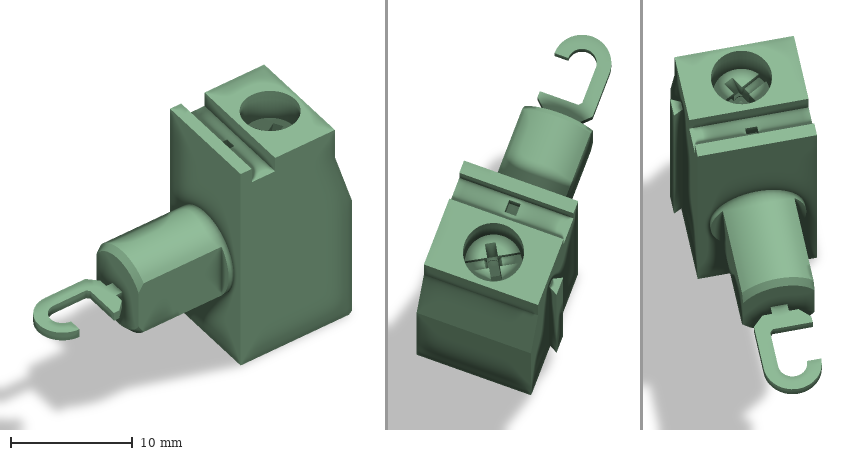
import cadquery as cq


BODY_WIDTH = 10.0
BODY_DEPTH = 11.2
BODY_HEIGHT = 20.9
BACK_STEP = 1.7
SLOPE_TOP = BODY_HEIGHT - 2.97
SLOPE_BOTTOM = BODY_HEIGHT - 8.55
BOTTOM_CHAMFER = 0.28

GROOVE_FRONT = 1.12
GROOVE_BACK = 3.47
GROOVE_DEPTH = 1.45
POCKET_WIDTH = 1.0
POCKET_LENGTH = 1.1
POCKET_Y = 2.02
POCKET_DEPTH = 1.0

RAIL_HEIGHT = 16.72
RAIL_BOTTOM = 1.2
RAIL_PROJECTION = 0.8
RAIL_OUTER_WIDTH = 1.57
RAIL_ROOT_WIDTH = 0.73
RAIL_Y = 6.52

HOLE_DIAMETER = 5.0
HEAD_DIAMETER = 4.7
SCREW_Y = 6.52
HEAD_DROP = 2.8
HEAD_HEIGHT = 2.0
SLOT_WIDTH = 0.9
SLOT_DEPTH = 0.55
SLOT_ANGLE = 30.0
CROSS_TOP_LENGTH = 3.28
CROSS_FLOOR_LENGTH = 1.65
CROSS_DEPTH = 1.4
SLOT_RECESS_TOP_LENGTH = 1.43
SLOT_RECESS_FLOOR_LENGTH = SLOT_WIDTH
CENTER_PIT_DIAMETER = 1.18
CENTER_PIT_DEPTH = 1.5

BOSS_DIAMETER = 8.0
BOSS_LENGTH = 8.85
BOSS_CHAMFER = 0.5
BOSS_Z = 9.13
FLAT_SPACING = 6.0
COLLAR_LENGTH = 0.5

HOOK_TIP_Y = BODY_DEPTH - 28.0
HOOK_OUTER_RADIUS = 2.4
HOOK_INNER_RADIUS = 1.2
HOOK_THICKNESS = 0.85
HOOK_Z = 9.02
STEM_WIDTH = 1.4
SHOULDER_Y = -9.5
SHOULDER_CHAMFER = 0.9
ARM_LOWER_Y = -10.92
INNER_CORNER_CHAMFER = 0.25


def make_housing():
    upper_back = BODY_DEPTH - BACK_STEP
    groove_floor = BODY_HEIGHT - GROOVE_DEPTH
    housing = (
        cq.Workplane("YZ")
        .moveTo(0, 0)
        .lineTo(BODY_DEPTH - BOTTOM_CHAMFER, 0)
        .lineTo(BODY_DEPTH, BOTTOM_CHAMFER)
        .lineTo(BODY_DEPTH, SLOPE_BOTTOM)
        .lineTo(upper_back, SLOPE_TOP)
        .lineTo(upper_back, BODY_HEIGHT)
        .lineTo(GROOVE_BACK, BODY_HEIGHT)
        .lineTo(GROOVE_BACK, groove_floor)
        .lineTo(GROOVE_FRONT, groove_floor)
        .lineTo(GROOVE_FRONT, BODY_HEIGHT)
        .lineTo(0, BODY_HEIGHT)
        .close()
        .extrude(BODY_WIDTH / 2, both=True)
    )
    pocket = (
        cq.Workplane("XY", origin=(0, POCKET_Y, groove_floor))
        .rect(POCKET_WIDTH, POCKET_LENGTH)
        .extrude(-POCKET_DEPTH)
    )
    return housing.cut(pocket)


def make_rail():
    root_x = -BODY_WIDTH / 2
    outer_x = root_x - RAIL_PROJECTION
    return (
        cq.Workplane("XY", origin=(0, RAIL_Y, RAIL_BOTTOM))
        .moveTo(root_x, -RAIL_ROOT_WIDTH / 2)
        .lineTo(outer_x, -RAIL_OUTER_WIDTH / 2)
        .lineTo(outer_x, RAIL_OUTER_WIDTH / 2)
        .lineTo(root_x, RAIL_ROOT_WIDTH / 2)
        .close()
        .extrude(RAIL_HEIGHT)
    )


def tapered_recess(top_length, floor_length, top_z, floor_z):
    """Slot-wide recess along X whose two ends slope inwards."""
    return (
        cq.Workplane("XZ")
        .moveTo(-top_length / 2, top_z)
        .lineTo(top_length / 2, top_z)
        .lineTo(floor_length / 2, floor_z)
        .lineTo(-floor_length / 2, floor_z)
        .close()
        .extrude(SLOT_WIDTH / 2, both=True)
    )


def make_screw_head():
    head = cq.Workplane("XY").circle(HEAD_DIAMETER / 2).extrude(-HEAD_HEIGHT)
    slot = cq.Workplane("XY").rect(HEAD_DIAMETER, SLOT_WIDTH).extrude(-SLOT_DEPTH)
    cross_arm = tapered_recess(CROSS_TOP_LENGTH, CROSS_FLOOR_LENGTH, 0, -CROSS_DEPTH)
    slot_recess = tapered_recess(
        SLOT_RECESS_TOP_LENGTH, SLOT_RECESS_FLOOR_LENGTH, -SLOT_DEPTH, -CROSS_DEPTH
    )
    pit = cq.Workplane("XY").circle(CENTER_PIT_DIAMETER / 2).extrude(-CENTER_PIT_DEPTH)
    pit_sides = cq.Workplane("XY").rect(SLOT_WIDTH, CENTER_PIT_DIAMETER).extrude(-CENTER_PIT_DEPTH)
    pit = pit.intersect(pit_sides)
    head = head.cut(slot).cut(slot_recess).cut(pit)
    head = head.cut(cross_arm.rotate((0, 0, 0), (0, 0, 1), 90))
    head = head.rotate((0, 0, 0), (0, 0, 1), SLOT_ANGLE)
    return head.translate((0, SCREW_Y, BODY_HEIGHT - HEAD_DROP))


def make_screw_hole():
    return (
        cq.Workplane("XY", origin=(0, SCREW_Y, BODY_HEIGHT))
        .circle(HOLE_DIAMETER / 2)
        .extrude(-(HEAD_DROP + HEAD_HEIGHT))
    )


def make_boss():
    plane = cq.Workplane("XZ", origin=(0, 0, BOSS_Z))
    boss = plane.circle(BOSS_DIAMETER / 2).extrude(BOSS_LENGTH).faces("<Y").chamfer(BOSS_CHAMFER)
    collar = plane.circle(BOSS_DIAMETER / 2).extrude(COLLAR_LENGTH)
    flats = plane.rect(FLAT_SPACING, BOSS_DIAMETER).extrude(BOSS_LENGTH)
    return boss.intersect(flats).union(collar)


def make_hook():
    arc_y = HOOK_TIP_Y + HOOK_OUTER_RADIUS
    shoulder_x = HOOK_OUTER_RADIUS - SHOULDER_CHAMFER
    shoulder_end_y = SHOULDER_Y - SHOULDER_CHAMFER
    return (
        cq.Workplane("XY", origin=(0, 0, HOOK_Z))
        .moveTo(-STEM_WIDTH / 2, -BOSS_LENGTH)
        .lineTo(STEM_WIDTH / 2, -BOSS_LENGTH)
        .lineTo(STEM_WIDTH / 2, SHOULDER_Y)
        .lineTo(shoulder_x, SHOULDER_Y)
        .lineTo(HOOK_OUTER_RADIUS, shoulder_end_y)
        .lineTo(HOOK_OUTER_RADIUS, ARM_LOWER_Y)
        .lineTo(-HOOK_INNER_RADIUS + INNER_CORNER_CHAMFER, ARM_LOWER_Y)
        .lineTo(-HOOK_INNER_RADIUS, ARM_LOWER_Y - INNER_CORNER_CHAMFER)
        .lineTo(-HOOK_INNER_RADIUS, arc_y)
        .threePointArc((0, arc_y - HOOK_INNER_RADIUS), (HOOK_INNER_RADIUS, arc_y))
        .lineTo(HOOK_OUTER_RADIUS, arc_y)
        .threePointArc((0, HOOK_TIP_Y), (-HOOK_OUTER_RADIUS, arc_y))
        .lineTo(-HOOK_OUTER_RADIUS, shoulder_end_y)
        .lineTo(-shoulder_x, SHOULDER_Y)
        .lineTo(-STEM_WIDTH / 2, SHOULDER_Y)
        .close()
        .extrude(HOOK_THICKNESS / 2, both=True)
    )


result = (
    make_housing()
    .cut(make_screw_hole())
    .union(make_screw_head())
    .union(make_rail())
    .union(make_boss())
    .union(make_hook())
)